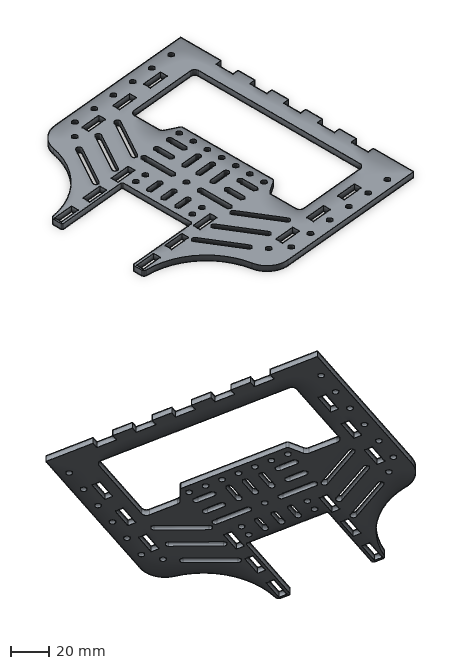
import cadquery as cq
import math


plate_width = 165.0
plate_length = 156.0
thickness = 4.0
corner_radius = 15.0
corner_center_y = 57.9
leg_arc_radius = 46.5
leg_arc_center_y = -2.5
leg_inner_x = 24.9
leg_root_y = 46.7
leg_tip_fillet = 2.0
leg_inner_fillet = 1.0

notch_count = 5
notch_pitch = 24.0
notch_width = notch_pitch / 2
notch_depth = thickness

window_half_width = 60.0
window_front_y = 91.9
window_rear_y = 141.9
window_fillet = 3.0
tongue_half_width = 32.7
tongue_y = 101.6
tongue_fillet = 1.5
tongue_flank_angle = 60.0

hole_diameter = 3.5
side_hole_x = 76.5
side_hole_pitch = 15.0
side_hole_count = 6

tab_slot_width = 4.8
tab_slot_length = 13.2
side_slot_x = 68.6
side_slot_rear_y = 121.0
side_slot_pitch = 24.1
leg_slot_x = 29.0
leg_slot_front_y = 7.8
leg_slot_pitch = 22.1
tab_slots_per_row = 3
corner_hole_y = corner_center_y

slanted_slot_outer_x = window_half_width
slanted_slot_front_y = 51.8
slanted_slot_pitch = side_hole_pitch
slanted_slot_span = 28.9
slanted_slot_angle = 30.0
slanted_slot_count = 3

grid_half_width = 30.0
grid_columns = 3
grid_pitch = grid_half_width / grid_columns
grid_center_y = 69.5
front_group_y = grid_center_y - grid_pitch
tongue_hole_y = 96.9
front_row_spacing = 7.5


def round_slot(start, end):
    """Round-ended slot cutter between two end centres."""
    run = end[0] - start[0]
    rise = end[1] - start[1]
    center = ((start[0] + end[0]) / 2, (start[1] + end[1]) / 2)
    total_length = math.hypot(run, rise) + hole_diameter
    angle = math.degrees(math.atan2(rise, run))
    sketch = cq.Workplane("XY").pushPoints([center]).slot2D(total_length, hole_diameter, angle)
    return sketch.extrude(thickness)


def mirrored(points):
    """The given points together with their mirror images across X = 0."""
    return points + [(-x, y) for x, y in points]


def make_plate():
    half_width = plate_width / 2
    corner_x = half_width - corner_radius

    center_rise = corner_center_y - leg_arc_center_y
    center_run = math.sqrt((leg_arc_radius + corner_radius) ** 2 - center_rise**2)
    leg_arc_x = corner_x + center_run
    tangent_angle = math.atan2(center_rise, -center_run)
    tip_angle = math.pi - math.asin(-leg_arc_center_y / leg_arc_radius)

    def on_leg_arc(angle):
        return (
            leg_arc_x + leg_arc_radius * math.cos(angle),
            leg_arc_center_y + leg_arc_radius * math.sin(angle),
        )

    def on_corner_arc(angle):
        return (
            corner_x + corner_radius * math.cos(angle),
            corner_center_y + corner_radius * math.sin(angle),
        )

    leg_tip_corner = on_leg_arc(tip_angle)
    half = (
        cq.Workplane("XY")
        .moveTo(0, leg_root_y)
        .lineTo(leg_inner_x, leg_root_y)
        .lineTo(leg_inner_x, 0)
        .lineTo(*leg_tip_corner)
        .threePointArc(on_leg_arc((tip_angle + tangent_angle) / 2), on_leg_arc(tangent_angle))
        .threePointArc(on_corner_arc((tangent_angle - math.pi) / 2), (half_width, corner_center_y))
        .lineTo(half_width, plate_length)
        .lineTo(0, plate_length)
        .close()
        .extrude(thickness)
    )
    corner_fillets = (
        (leg_tip_corner, leg_tip_fillet),
        ((leg_inner_x, 0), leg_inner_fillet),
        ((leg_inner_x, leg_root_y), leg_inner_fillet),
    )
    for corner, radius in corner_fillets:
        nearest_edge = cq.selectors.NearestToPointSelector((*corner, thickness / 2))
        half = half.edges("|Z").edges(nearest_edge).fillet(radius)
    return half.union(half.mirror("YZ"))


def make_notches():
    sketch = cq.Workplane("XY").center(0, plate_length).rarray(notch_pitch, 1.6, notch_count, 1)
    return sketch.rect(notch_width, 2 * notch_depth).extrude(thickness)


def make_window():
    flank_run = (tongue_y - window_front_y) / math.tan(math.radians(tongue_flank_angle))
    tongue_base = tongue_half_width + flank_run
    right_side = [
        (tongue_half_width, tongue_y),
        (tongue_base, window_front_y),
        (window_half_width, window_front_y),
        (window_half_width, window_rear_y),
    ]
    left_side = [(-x, y) for x, y in reversed(right_side)]
    window = cq.Workplane("XY").polyline(right_side + left_side).close().extrude(thickness)

    box_half_width = tongue_half_width + flank_run / 2
    tongue_box = cq.selectors.BoxSelector(
        (-box_half_width, window_front_y, 0),
        (box_half_width, window_rear_y, thickness),
    )
    window = window.edges(cq.selectors.StringSyntaxSelector("|Z") - tongue_box).fillet(window_fillet)
    return window.edges(cq.selectors.StringSyntaxSelector("|Z") & tongue_box).fillet(tongue_fillet)


def make_holes():
    side = [(side_hole_x, window_rear_y - i * side_hole_pitch) for i in range(side_hole_count)]
    corner = [(side_slot_x, corner_hole_y)]
    tongue = [(i * grid_pitch, tongue_hole_y) for i in range(1, grid_columns + 1)]
    front = [(2 * grid_pitch, front_group_y - i * front_row_spacing) for i in range(2)]
    middle = [(0, tongue_hole_y), (0, grid_center_y)]
    points = mirrored(side + corner + tongue + front) + middle
    return cq.Workplane("XY").pushPoints(points).circle(hole_diameter / 2).extrude(thickness)


def make_tab_slots():
    points = []
    for i in range(tab_slots_per_row):
        points.append((side_slot_x, side_slot_rear_y - i * side_slot_pitch))
        points.append((leg_slot_x, leg_slot_front_y + i * leg_slot_pitch))
    sketch = cq.Workplane("XY").pushPoints(mirrored(points)).rect(tab_slot_width, tab_slot_length)
    return sketch.extrude(thickness)


def make_round_slots():
    angle = math.radians(slanted_slot_angle)
    slanted_run = slanted_slot_span * math.cos(angle)
    slanted_rise = slanted_slot_span * math.sin(angle)
    slots = []
    for side in (-1, 1):
        for i in range(slanted_slot_count):
            outer_y = slanted_slot_front_y + i * slanted_slot_pitch
            outer = (side * slanted_slot_outer_x, outer_y)
            inner = (side * (slanted_slot_outer_x - slanted_run), outer_y - slanted_rise)
            slots.append(round_slot(inner, outer))
        for row, inner_column in ((0, 1), (1, 2), (2, 2)):
            y = grid_center_y + row * grid_pitch
            slots.append(round_slot((side * inner_column * grid_pitch, y), (side * grid_half_width, y)))
    for column in (-1, 0, 1):
        x = column * grid_pitch
        slots.append(round_slot((x, grid_center_y + grid_pitch), (x, grid_center_y + 2 * grid_pitch)))
        slots.append(round_slot((x, front_group_y - front_row_spacing), (x, front_group_y)))
    return slots


result = make_plate()
for opening in [make_notches(), make_window(), make_holes(), make_tab_slots()] + make_round_slots():
    result = result.cut(opening)